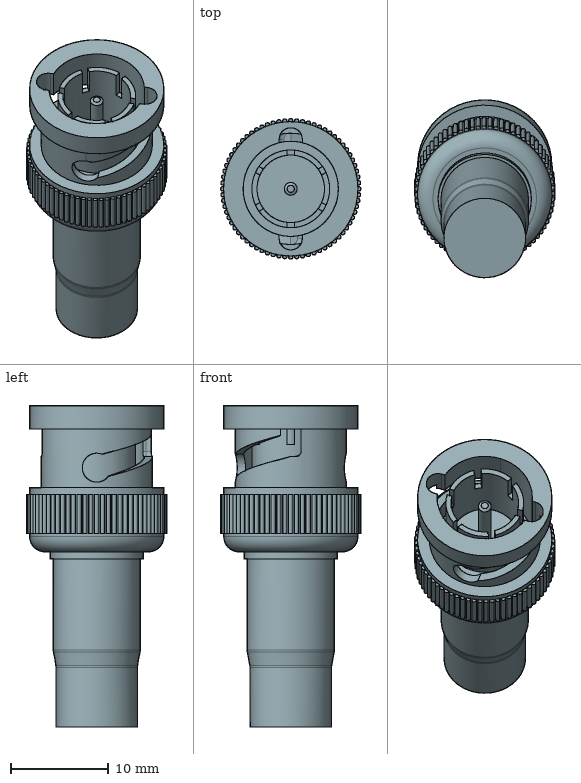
import cadquery as cq

TOTAL_HEIGHT = 33.1

RIM_HEIGHT = 2.42
NECK_HEIGHT = 6.03
COLLAR_HEIGHT = 6.62
KNURL_OFFSET = 0.7
KNURL_HEIGHT = 4.05
COLLAR_FILLET = 1.6

RIM_RADIUS = 6.92
NECK_RADIUS = 5.73
SOCKET_RADIUS = 4.9

KNURL_OUTER_RADIUS = 7.235
BEAD_RADIUS = 0.23
BEAD_COUNT = 72

ENTRY_RADIUS = 1.2
ENTRY_CENTRE = 5.1
ENTRY_DEPTH = 5.23
ENTRY_FILLET = 0.5
RAMP_WIDTH = 2.45
RAMP_END_DEPTH = 6.4
LOCK_HOLE_RADIUS = 1.5
TRACK_COUNT = 2

SLEEVE_RADIUS = 4.0
SLEEVE_BORE_RADIUS = 3.48
SLEEVE_DEPTH = 1.05
SLIT_WIDTH = 0.73
SLIT_DEPTH = 4.0
SLIT_COUNT = 6
CONTACT_RADIUS = 0.65
CONTACT_TIP_RADIUS = 0.35
CONTACT_DEPTH = 1.65
CONTACT_CHAMFER = 0.15

SHOULDER_RADIUS = 4.8
SHOULDER_HEIGHT = 0.73
TUBE_RADIUS = 4.5
FERRULE_RADIUS = 4.2
FERRULE_HEIGHT = 6.22
TAPER_HEIGHT = 1.62
TAPER_BLEND = 1.15

RIM_BOTTOM = TOTAL_HEIGHT - RIM_HEIGHT
NECK_BOTTOM = RIM_BOTTOM - NECK_HEIGHT
COUPLING_BOTTOM = NECK_BOTTOM - COLLAR_HEIGHT
SOCKET_FLOOR = NECK_BOTTOM
KNURL_BOTTOM = NECK_BOTTOM - KNURL_OFFSET - KNURL_HEIGHT
ENTRY_FLOOR = TOTAL_HEIGHT - ENTRY_DEPTH
RAMP_LOW = TOTAL_HEIGHT - RAMP_END_DEPTH
RAMP_HIGH = ENTRY_FLOOR + RAMP_WIDTH / 2
SHOULDER_BOTTOM = COUPLING_BOTTOM - SHOULDER_HEIGHT
TAPER_TOP = FERRULE_HEIGHT + TAPER_HEIGHT

CUT_MARGIN = 0.33


def cylinder(radius, bottom, top):
    """Cylinder on the Z axis between two levels."""
    return cq.Workplane("XY").workplane(offset=bottom).circle(radius).extrude(top - bottom)


def make_entry_groove():
    """Round-ended axial groove at -Y, open at the rim and to the socket, with a rounded floor."""
    inner_end = SOCKET_RADIUS - 2 * ENTRY_RADIUS
    return (
        cq.Workplane("XY")
        .workplane(offset=ENTRY_FLOOR)
        .moveTo(-ENTRY_RADIUS, -inner_end)
        .lineTo(-ENTRY_RADIUS, -ENTRY_CENTRE)
        .threePointArc((0, -ENTRY_CENTRE - ENTRY_RADIUS), (ENTRY_RADIUS, -ENTRY_CENTRE))
        .lineTo(ENTRY_RADIUS, -inner_end)
        .close()
        .extrude(ENTRY_DEPTH + CUT_MARGIN)
        .faces("<Z").edges().fillet(ENTRY_FILLET)
    )


def make_ramp():
    """Quarter-turn helical slot through the neck wall, low at -X and high at -Y."""
    inner = SOCKET_RADIUS - CUT_MARGIN
    outer = NECK_RADIUS + CUT_MARGIN
    rise = RAMP_HIGH - RAMP_LOW
    path = cq.Wire.makeHelix(4 * rise, rise, NECK_RADIUS)
    ramp = (
        cq.Workplane("XZ")
        .center((inner + outer) / 2, 0)
        .rect(outer - inner, RAMP_WIDTH)
        .sweep(cq.Workplane(path), isFrenet=True)
    )
    return ramp.rotate((0, 0, 0), (0, 0, 1), 180).translate((0, 0, RAMP_LOW))


def make_lock_hole():
    """Radial round hole through the neck wall at -X, at the low end of the ramp."""
    length = NECK_RADIUS + CUT_MARGIN - SLEEVE_RADIUS
    return (
        cq.Workplane("YZ")
        .workplane(offset=-NECK_RADIUS - CUT_MARGIN)
        .center(0, RAMP_LOW)
        .circle(LOCK_HOLE_RADIUS)
        .extrude(length)
    )


def make_knurl():
    """Ring of rounded axial beads around the collar."""
    return (
        cq.Workplane("XY")
        .workplane(offset=KNURL_BOTTOM)
        .polarArray(KNURL_OUTER_RADIUS - BEAD_RADIUS, 0, 360, BEAD_COUNT)
        .circle(BEAD_RADIUS)
        .extrude(KNURL_HEIGHT)
    )


def make_coupling():
    rim = cylinder(RIM_RADIUS, RIM_BOTTOM, TOTAL_HEIGHT)
    neck = cylinder(NECK_RADIUS, NECK_BOTTOM, RIM_BOTTOM)
    collar = cylinder(RIM_RADIUS, COUPLING_BOTTOM, NECK_BOTTOM).faces("<Z").edges().fillet(COLLAR_FILLET)
    coupling = collar.union(neck).union(rim).union(make_knurl())
    coupling = coupling.cut(cylinder(SOCKET_RADIUS, SOCKET_FLOOR, TOTAL_HEIGHT))
    coupling = coupling.cut(cylinder(SLEEVE_RADIUS, COUPLING_BOTTOM, SOCKET_FLOOR))
    for index in range(TRACK_COUNT):
        turn = index * 360 / TRACK_COUNT
        for cutter in (make_entry_groove(), make_ramp(), make_lock_hole()):
            coupling = coupling.cut(cutter.rotate((0, 0, 0), (0, 0, 1), turn))
    return coupling


def make_tail():
    """Shoulder, cable tube, blended taper and ferrule as one turned shape."""
    profile = [
        (0, 0),
        (FERRULE_RADIUS, 0),
        (FERRULE_RADIUS, FERRULE_HEIGHT),
        (TUBE_RADIUS, TAPER_TOP),
        (TUBE_RADIUS, SHOULDER_BOTTOM),
        (SHOULDER_RADIUS, SHOULDER_BOTTOM),
        (SHOULDER_RADIUS, COUPLING_BOTTOM),
        (0, COUPLING_BOTTOM),
    ]
    tail = cq.Workplane("XZ").polyline(profile).close().revolve(360, (0, 0, 0), (0, 1, 0))
    taper_zone = cq.selectors.BoxSelector(
        (-RIM_RADIUS, -RIM_RADIUS, FERRULE_HEIGHT - CUT_MARGIN),
        (RIM_RADIUS, RIM_RADIUS, TAPER_TOP + CUT_MARGIN),
    )
    return tail.edges("%CIRCLE").edges(taper_zone).fillet(TAPER_BLEND)


def make_sleeve():
    """Spring sleeve with its bore and the slits that divide it into fingers."""
    top = TOTAL_HEIGHT - SLEEVE_DEPTH
    slit_floor = TOTAL_HEIGHT - SLIT_DEPTH
    sleeve = cylinder(SLEEVE_RADIUS, COUPLING_BOTTOM, top).cut(
        cylinder(SLEEVE_BORE_RADIUS, SOCKET_FLOOR, top)
    )
    slit = cq.Workplane("XY").box(
        SLIT_WIDTH, 2 * SLEEVE_RADIUS, top - slit_floor, centered=(True, True, False)
    ).translate((0, 0, slit_floor))
    for index in range(SLIT_COUNT // 2):
        sleeve = sleeve.cut(slit.rotate((0, 0, 0), (0, 0, 1), index * 360 / SLIT_COUNT))
    return sleeve


def make_contact():
    """Centre pin with a chamfered tip, standing on the floor of the sleeve bore."""
    return (
        cylinder(CONTACT_RADIUS, SOCKET_FLOOR, TOTAL_HEIGHT - CONTACT_DEPTH)
        .faces(">Z").edges()
        .chamfer(CONTACT_CHAMFER, CONTACT_RADIUS - CONTACT_TIP_RADIUS)
    )


def make_plug_body():
    return make_tail().union(make_sleeve()).union(make_contact())


coupling = make_coupling()
plug_body = make_plug_body()

result = cq.Compound.makeCompound([*coupling.solids().vals(), *plug_body.solids().vals()])